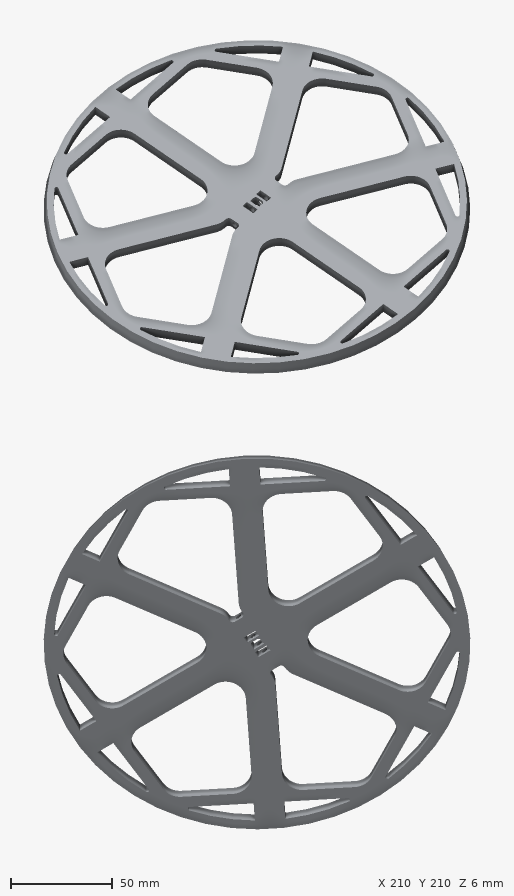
import cadquery as cq
import math

base_radius = 105.0
thickness = 6.0
rim_taper = 15.0
cut_radius = 100.0

spoke_count = 6
spoke_step = 360.0 / spoke_count
half_step = math.radians(spoke_step / 2)
half_spoke = 7.5
ring_inner_apothem = 84.0
ring_outer_apothem = 90.0
window_fillet = 10.0
pocket_tip_fillet = 1.0

notch_width = 8.0
notch_floor = 16.5
notch_fillet = 2.0
mouth_fillet = 10.0
selection_margin = 0.5
strap_slot_length = 7.0
strap_slot_width = 3.2
strap_slot_offset = 5.0
shaft_width = 5.7
shaft_bottom = -1.8
shaft_top = 2.2
shaft_fillet = 1.4
tunnel_diameter = 3.0


def make_disc():
    return cq.Workplane("XY").circle(base_radius).extrude(thickness, taper=rim_taper)


def make_window():
    """Kite-shaped opening between two spokes, pointing along +Y, with a sharp hub corner."""
    hub_corner = half_spoke / math.sin(half_step)
    outer_corner = ring_inner_apothem / math.cos(half_step)
    side_x = ring_inner_apothem * math.sin(half_step) - half_spoke * math.cos(half_step)
    side_y = ring_inner_apothem * math.cos(half_step) + half_spoke * math.sin(half_step)
    return (
        cq.Workplane("XY")
        .polyline([(0, hub_corner), (side_x, side_y), (0, outer_corner), (-side_x, side_y)])
        .close()
        .extrude(thickness)
        .edges("|Z and (>X or <X or >Y)")
        .fillet(window_fillet)
    )


def make_rounded_window():
    return make_window().edges("|Z and <Y").fillet(window_fillet)


def make_notched_window():
    """Window whose hub corner is squared off into a narrow notch."""
    notch_length = ring_inner_apothem / 2 - notch_floor
    notch = (
        cq.Workplane("XY")
        .center(0, notch_floor + notch_length / 2)
        .rect(notch_width, notch_length)
        .extrude(thickness)
        .edges("|Z and <Y")
        .fillet(notch_fillet)
    )
    below_notch = cq.Workplane("XY").rect(2 * notch_width, 2 * notch_floor).extrude(thickness)
    mouth_y = (half_spoke + notch_width / 2 * math.cos(half_step)) / math.sin(half_step)
    mouth = cq.selectors.BoxSelector(
        (-notch_width, mouth_y - selection_margin, -thickness),
        (notch_width, mouth_y + selection_margin, 2 * thickness),
    )
    return make_window().cut(below_notch).union(notch).edges("|Z").edges(mouth).fillet(mouth_fillet)


def make_rim_pocket():
    """Sliver between the ring, the rim and the upper side of the +X spoke."""
    arc_start_x = math.sqrt(cut_radius**2 - half_spoke**2)
    tip_y = math.sqrt(cut_radius**2 - ring_outer_apothem**2)
    mid_angle = (math.asin(half_spoke / cut_radius) + math.asin(tip_y / cut_radius)) / 2
    arc_middle = (cut_radius * math.cos(mid_angle), cut_radius * math.sin(mid_angle))
    return (
        cq.Workplane("XY")
        .moveTo(ring_outer_apothem, half_spoke)
        .lineTo(arc_start_x, half_spoke)
        .threePointArc(arc_middle, (ring_outer_apothem, tip_y))
        .close()
        .extrude(thickness)
        .edges("|Z and >Y")
        .fillet(pocket_tip_fillet)
    )


def make_strap_slots():
    return (
        cq.Workplane("XY")
        .pushPoints([(0, strap_slot_offset), (0, -strap_slot_offset)])
        .rect(strap_slot_length, strap_slot_width)
        .extrude(thickness)
    )


def make_shaft_hole():
    """Rectangular hole with its two +Y corners rounded."""
    return (
        cq.Workplane("XY")
        .center(0, (shaft_bottom + shaft_top) / 2)
        .rect(shaft_width, shaft_top - shaft_bottom)
        .extrude(thickness)
        .edges("|Z and >Y")
        .fillet(shaft_fillet)
    )


def make_tunnel():
    """Round bore along Y that links the two notches through all the hub openings."""
    return (
        cq.Workplane("XZ")
        .center(0, thickness / 2)
        .circle(tunnel_diameter / 2)
        .extrude(notch_floor, both=True)
    )


def turned(shape, angle):
    return shape.rotate((0, 0, 0), (0, 0, 1), angle)


result = make_disc()

rounded_window = make_rounded_window()
notched_window = make_notched_window()
rim_pocket = make_rim_pocket()
mirrored_pocket = rim_pocket.mirror("XZ")

for index in range(spoke_count):
    angle = index * spoke_step
    on_y_axis = index % (spoke_count // 2) == 0
    window = notched_window if on_y_axis else rounded_window
    result = result.cut(turned(window, angle))
    result = result.cut(turned(rim_pocket, angle))
    result = result.cut(turned(mirrored_pocket, angle))

result = result.cut(make_strap_slots())
result = result.cut(make_shaft_hole())
result = result.cut(make_tunnel())